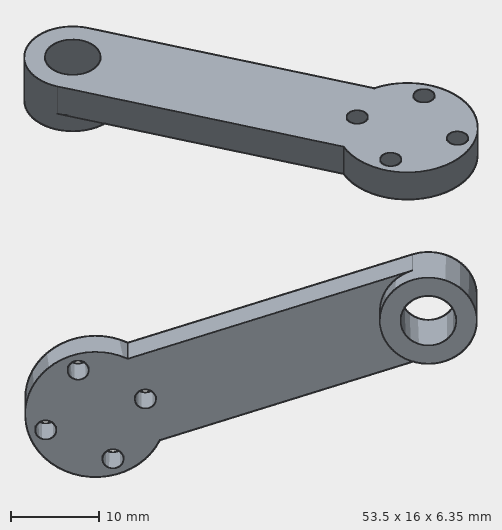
import cadquery as cq

overall_length = 53.5
overall_height = 6.35
plate_thickness = 4.0
hub_diameter = 11.0
bore_diameter = 6.3
disc_diameter = 16.0
screw_hole_diameter = 2.4
screw_circle_radius = 6.0
screw_hole_count = 4

disc_x = overall_length - (hub_diameter + disc_diameter) / 2
plate_bottom = overall_height - plate_thickness


def cylinder(diameter, x, bottom):
    """Upright cylinder from the given height to the top face."""
    return (
        cq.Workplane("XY", origin=(x, 0, bottom))
        .circle(diameter / 2)
        .extrude(overall_height - bottom)
    )


hub = cylinder(hub_diameter, 0, 0)
disc = cylinder(disc_diameter, disc_x, plate_bottom)
arm = cq.Workplane("XY", origin=(0, 0, plate_bottom)).box(
    disc_x, hub_diameter, plate_thickness, centered=(False, True, False)
)
body = hub.union(arm).union(disc)

bore = cylinder(bore_diameter, 0, 0)

screw_holes = (
    cq.Workplane("XY", origin=(disc_x, 0, plate_bottom))
    .polarArray(screw_circle_radius, 0, 360, screw_hole_count)
    .circle(screw_hole_diameter / 2)
    .extrude(plate_thickness)
)

result = body.cut(bore).cut(screw_holes)